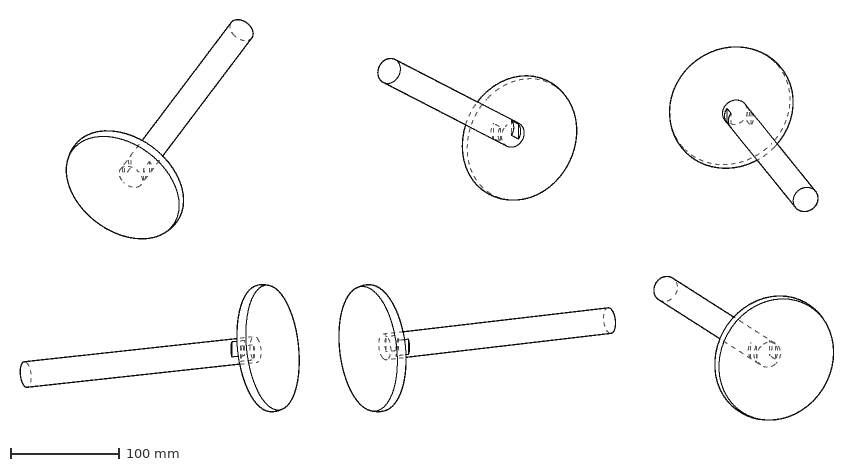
import cadquery as cq

total_length = 252.0
disc_diameter = 118.0
stem_diameter = 24.0

rim_thickness = 9.8
cone_height = 7.5
back_edge_radius = 3.0
front_taper_length = 4.0
front_taper_depth = 1.0

flat_start = 24.0
flat_length = 13.0
across_flats = 19.2

disc_radius = disc_diameter / 2
stem_radius = stem_diameter / 2
cone_base_radius = disc_radius - back_edge_radius
flat_depth = (stem_diameter - across_flats) / 2
arc_ratio = 0.5 ** 0.5


def make_body():
    """Revolve the disc and stem as one profile about the Y axis."""
    back_arc_center = (cone_base_radius, rim_thickness - back_edge_radius)
    back_offset = back_edge_radius * arc_ratio
    profile = (
        cq.Workplane("XY")
        .lineTo(disc_radius - front_taper_depth, 0)
        .lineTo(disc_radius, front_taper_length)
        .lineTo(disc_radius, back_arc_center[1])
        .threePointArc(
            (back_arc_center[0] + back_offset, back_arc_center[1] + back_offset),
            (cone_base_radius, rim_thickness),
        )
        .lineTo(stem_radius, rim_thickness + cone_height)
        .lineTo(stem_radius, total_length)
        .lineTo(0, total_length)
        .close()
    )
    return profile.revolve(360, (0, 0, 0), (0, 1, 0))


def make_flat_cutter(side):
    """Block that removes one wrench flat; side is -1 or +1 along X."""
    center_x = side * (across_flats + flat_depth) / 2
    center_y = flat_start + flat_length / 2
    return (
        cq.Workplane("XY")
        .box(flat_depth, flat_length, stem_diameter)
        .translate((center_x, center_y, 0))
    )


result = make_body()
for side in (-1, 1):
    result = result.cut(make_flat_cutter(side))